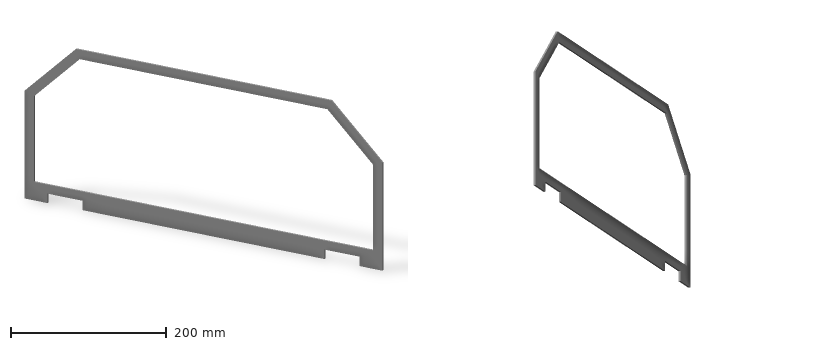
import cadquery as cq
import math

length = 510.5
height = 225.0
thickness = 2.5

bar_width = 13.5
bottom_bar_height = 26.0
corner_cut = 73.0

notch_inset = 32.5
notch_length = 50.0
notch_height = 13.5


def clipped_plate(half_length, bottom, top, cut):
    """Rectangular plate with both upper corners cut at 45 degrees."""
    outline = [
        (-half_length, bottom),
        (half_length, bottom),
        (half_length, top - cut),
        (half_length - cut, top),
        (-half_length + cut, top),
        (-half_length, top - cut),
    ]
    return cq.Workplane("XZ").polyline(outline).close().extrude(thickness / 2, both=True)


half_length = length / 2
bottom = -height / 2
top = height / 2

opening_cut = corner_cut - bar_width * (2 - math.sqrt(2))

frame = clipped_plate(half_length, bottom, top, corner_cut)
opening = clipped_plate(
    half_length - bar_width, bottom + bottom_bar_height, top - bar_width, opening_cut
)
result = frame.cut(opening)

notch_center_x = half_length - notch_inset - notch_length / 2
for side in (-1, 1):
    notch = cq.Workplane("XY").box(notch_length, thickness, notch_height).translate(
        (side * notch_center_x, 0, bottom + notch_height / 2)
    )
    result = result.cut(notch)